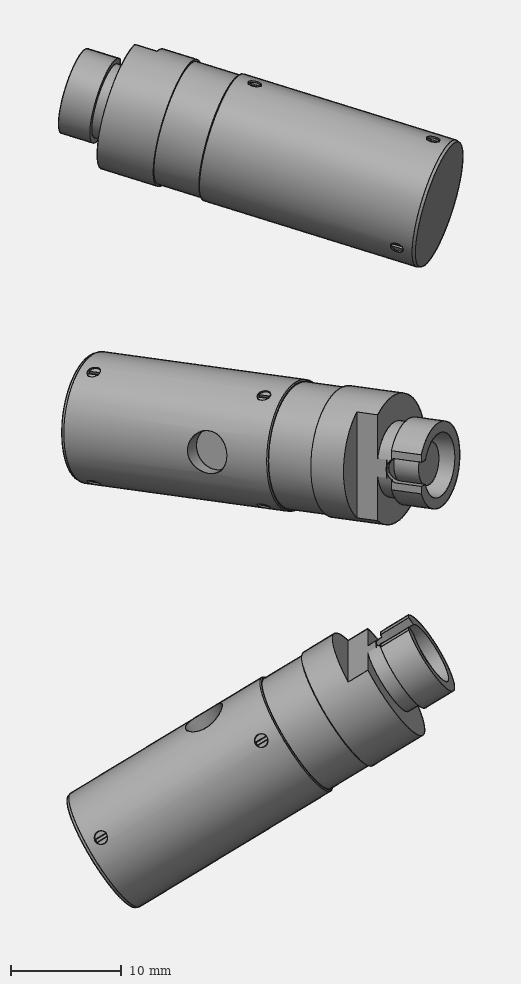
import cadquery as cq

collar_diameter = 8.0
neck_diameter = 7.0
body_diameter = 12.0
waist_diameter = 11.6
collar_end = 3.05
neck_end = 4.52
head_end = 9.95
waist_end = 14.33
length = 35.3
end_chamfer_length = 0.3
end_chamfer_height = 0.1
step_chamfer = 0.1

bore_diameter = 6.0
pin_diameter = 4.0
pin_front = 1.1

collar_flat_y = 3.55
head_flat_y = 3.4
slot_width = 2.25
slot_end = 3.6
head_flat_start = slot_end
head_flat_end = 6.65
bore_depth = slot_end

side_hole_diameter = 4.0
side_hole_x = 20.47
side_hole_depth = 1.75

screw_diameter = 1.25
screw_recess = 0.18
driver_slot_width = 0.32
driver_slot_depth = 0.3
front_screw_x = 16.27
rear_screw_x = 33.55
front_screw_angles = (60, -60)
rear_screw_angles = (60, 180, -60)

body_radius = body_diameter / 2


def cylinder(start, end, diameter):
    """Cylinder on the X axis between two X positions."""
    return cq.Workplane("YZ", origin=(start, 0, 0)).circle(diameter / 2).extrude(end - start)


def turned_body():
    collar = cylinder(0, collar_end, collar_diameter)
    neck = cylinder(collar_end, neck_end, neck_diameter)
    head = cylinder(neck_end, head_end, body_diameter)
    waist = cylinder(head_end, waist_end, waist_diameter)
    barrel = cylinder(waist_end, length, body_diameter)
    barrel = barrel.faces("<X").chamfer(step_chamfer)
    barrel = barrel.faces(">X").edges().chamfer(end_chamfer_length, end_chamfer_height)
    return collar.union(neck).union(head).union(waist).union(barrel)


def flat_cut(start, end, flat_y):
    """Block that removes everything beyond flat_y on the +Y side."""
    return cq.Workplane("XY").box(
        end - start, body_radius, body_diameter, centered=(False, False, True)
    ).translate((start, flat_y, 0))


def entry_slot():
    """Round-ended slot through the wall around the bore, on the +Y side."""
    radius = slot_width / 2
    straight_end = slot_end - radius
    return (
        cq.Workplane("XZ")
        .moveTo(0, -radius)
        .lineTo(straight_end, -radius)
        .threePointArc((slot_end, 0), (straight_end, radius))
        .lineTo(0, radius)
        .close()
        .extrude(-body_radius)
    )


def side_hole():
    return (
        cq.Workplane("XZ", origin=(side_hole_x, body_radius - side_hole_depth, 0))
        .circle(side_hole_diameter / 2)
        .extrude(-side_hole_depth)
    )


def screw_cut(x, angle):
    """Recess above a screw and the driver slot in its head, turned to the angle."""
    head_y = body_radius - screw_recess
    recess = (
        cq.Workplane("XZ", origin=(x, head_y, 0))
        .circle(screw_diameter / 2)
        .extrude(-2 * screw_recess)
    )
    slot = cq.Workplane("XY").box(screw_diameter, driver_slot_depth, driver_slot_width)
    slot = slot.translate((x, head_y - driver_slot_depth / 2, 0))
    disc = recess.translate((0, -driver_slot_depth, 0))
    return recess.union(slot.intersect(disc)).rotate((0, 0, 0), (1, 0, 0), angle)


result = turned_body()
result = result.cut(cylinder(0, bore_depth, bore_diameter))
result = result.cut(flat_cut(0, head_flat_start, collar_flat_y))
result = result.cut(flat_cut(head_flat_start, head_flat_end, head_flat_y))
result = result.cut(entry_slot())
result = result.union(cylinder(pin_front, bore_depth, pin_diameter))
result = result.cut(side_hole())
for screw_angle in front_screw_angles:
    result = result.cut(screw_cut(front_screw_x, screw_angle))
for screw_angle in rear_screw_angles:
    result = result.cut(screw_cut(rear_screw_x, screw_angle))